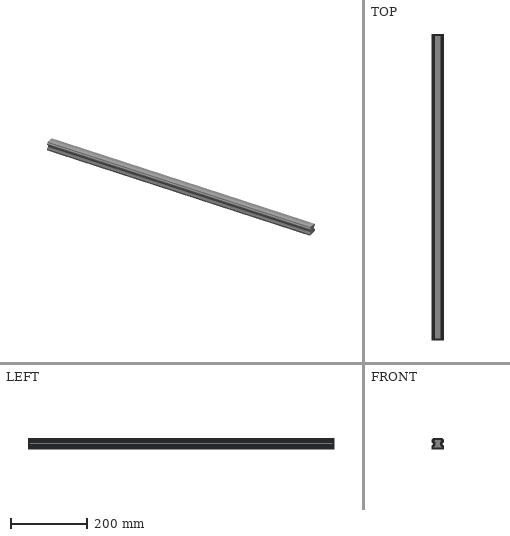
import cadquery as cq

LENGTH = 800.0
WIDTH = 28.0
HEIGHT = 26.0

TOP_WIDTH = 18.7
TOP_CHAMFER = 0.8
HEAD_SIDE_TOP = 21.2
HEAD_SIDE_BOTTOM = 18.4
HEAD_SIDE_CHAMFER = 1.0
RACEWAY_RADIUS = 3.8

NECK_WIDTH = 19.1
NECK_TOP = 14.5

FOOT_SLOPE_TOP = 10.1
BOTTOM_CHAMFER = 1.5

half_width = WIDTH / 2
half_top = TOP_WIDTH / 2
half_neck = NECK_WIDTH / 2
foot_side_top = FOOT_SLOPE_TOP - (half_width - half_neck)

upper_raceway_inner = (half_top + TOP_CHAMFER, HEIGHT - TOP_CHAMFER)
upper_raceway_outer = (half_width - HEAD_SIDE_CHAMFER, HEAD_SIDE_TOP + HEAD_SIDE_CHAMFER)
lower_raceway_outer = (half_width - HEAD_SIDE_CHAMFER, HEAD_SIDE_BOTTOM - HEAD_SIDE_CHAMFER)
lower_raceway_inner = (half_neck, NECK_TOP)


def rail_profile():
    """Cross-section in XZ: the right half, mirrored about the centre line."""
    return (
        cq.Workplane("XZ", origin=(0, LENGTH / 2, 0))
        .moveTo(0, HEIGHT)
        .lineTo(half_top, HEIGHT)
        .lineTo(*upper_raceway_inner)
        .radiusArc(upper_raceway_outer, -RACEWAY_RADIUS)
        .lineTo(half_width, HEAD_SIDE_TOP)
        .lineTo(half_width, HEAD_SIDE_BOTTOM)
        .lineTo(*lower_raceway_outer)
        .radiusArc(lower_raceway_inner, -RACEWAY_RADIUS)
        .lineTo(half_neck, FOOT_SLOPE_TOP)
        .lineTo(half_width, foot_side_top)
        .lineTo(half_width, BOTTOM_CHAMFER)
        .lineTo(half_width - BOTTOM_CHAMFER, 0)
        .lineTo(0, 0)
        .mirrorY()
    )


result = rail_profile().extrude(LENGTH)